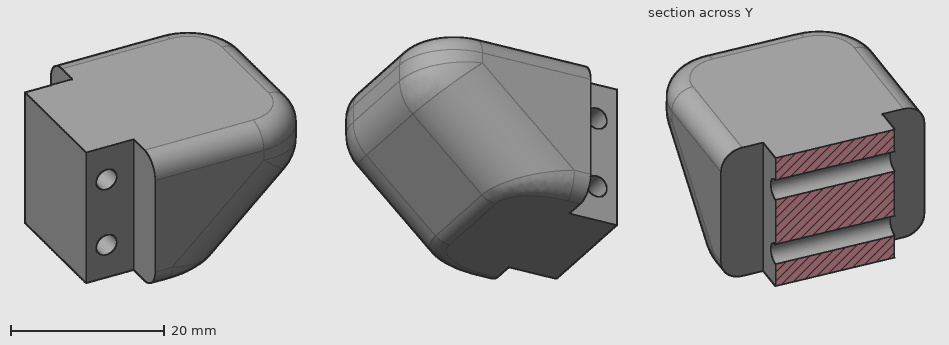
import cadquery as cq

width = 29.0
length = 31.0
height = 20.0

tongue_length = 7.0
tongue_width = 17.0
hole_diameter = 3.0
hole_spacing = height / 2
hole_from_front = 3.0

slope_run = 13.0
slope_rise = 12.0

corner_radius = 8.0
heel_radius = 6.0
edge_radius = 3.0

front = -length / 2
back = length / 2
shoulder = front + tongue_length


def edges_near(body, points):
    """Select the body edge whose middle is nearest to each point."""
    nearest = [body.edges(cq.selectors.NearestToPointSelector(point)).val() for point in points]
    return body.newObject(nearest)


def make_body():
    """Rounded block whose lower back is cut away by a slope."""
    side_profile = [
        (shoulder, 0),
        (back - slope_run, 0),
        (back, slope_rise),
        (back, height),
        (shoulder, height),
    ]
    body = cq.Workplane("YZ").polyline(side_profile).close().extrude(width / 2, both=True)

    corner_edges = []
    for side in (-width / 2, width / 2):
        corner_edges.append((side, back, (height + slope_rise) / 2))
        corner_edges.append((side, back - slope_run / 2, slope_rise / 2))
    body = edges_near(body, corner_edges).fillet(corner_radius)

    body = edges_near(body, [(0, back, slope_rise)]).fillet(heel_radius)

    body = body.faces(">Z").edges("not(<Y)").fillet(edge_radius)
    body = body.faces("<Z").edges("not(<Y)").fillet(edge_radius)
    return body


def make_tongue():
    """Full-height block with cross holes one above the other."""
    tongue = (
        cq.Workplane("XY")
        .box(tongue_width, tongue_length, height, centered=(True, False, False))
        .translate((0, front, 0))
    )
    hole_y = front + hole_from_front
    hole_heights = [(height - hole_spacing) / 2, (height + hole_spacing) / 2]
    holes = (
        cq.Workplane("YZ")
        .pushPoints([(hole_y, hole_z) for hole_z in hole_heights])
        .circle(hole_diameter / 2)
        .extrude(tongue_width / 2, both=True)
    )
    return tongue.cut(holes)


result = make_body().union(make_tongue())